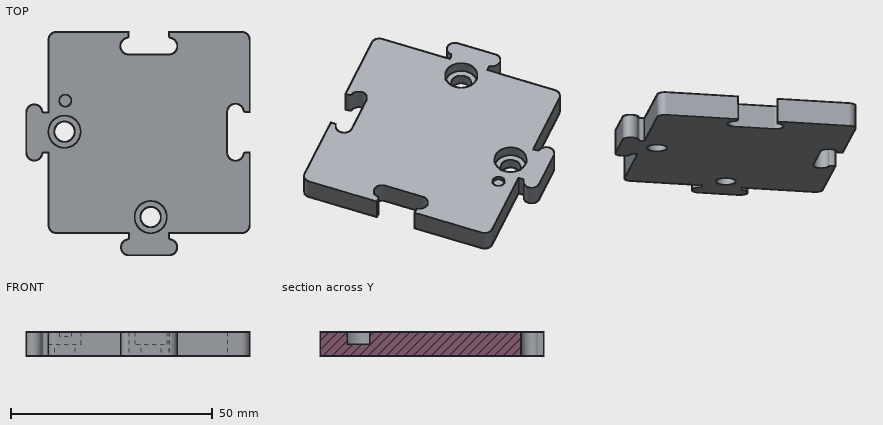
import cadquery as cq

side = 50.0
thickness = 6.0
corner_radius = 2.0
middle = side / 2

neck_width = 10.0
tab_lobe_offset = 3.5
tab_lobe_radius = 2.0
neck_fillet = 0.5
clearance = 0.05
socket_shift = 0.06
socket_lobe_offset = tab_lobe_offset + clearance
socket_lobe_radius = tab_lobe_radius + clearance

screw_diameter = 5.0
counterbore_diameter = 8.0
counterbore_depth = 3.0
screw_inset = 4.0
left_screw_shift = 0.2
front_screw_shift = 0.4
left_screw = (screw_inset, middle + left_screw_shift)
front_screw = (middle + front_screw_shift, screw_inset)

marker_diameter = 3.0
marker_depth = 1.0
marker_center = (4.2, 32.9)


def connector(lobe_offset, lobe_radius):
    """Connector pointing toward -Y from a tile edge lying on the X axis."""
    half_neck = neck_width / 2
    neck_end = lobe_radius - lobe_offset
    reach = lobe_offset + lobe_radius
    outline = (
        cq.Workplane("XY")
        .moveTo(-half_neck, 0)
        .lineTo(-half_neck, neck_end)
        .threePointArc((-half_neck - lobe_radius, -lobe_offset), (-half_neck, -reach))
        .lineTo(half_neck, -reach)
        .threePointArc((half_neck + lobe_radius, -lobe_offset), (half_neck, neck_end))
        .lineTo(half_neck, 0)
        .close()
    )
    body = outline.extrude(thickness)
    for neck_side in (-half_neck, half_neck):
        corner = (neck_side, neck_end, thickness / 2)
        body = body.edges(cq.NearestToPointSelector(corner)).fillet(neck_fillet)
    return body


def place(shape, angle, position):
    """Turn a shape about the Z axis and move it to a point on the tile."""
    x, y = position
    return shape.rotate((0, 0, 0), (0, 0, 1), angle).translate((x, y, 0))


def tile():
    """Plain square plate with rounded vertical corners."""
    plate = cq.Workplane("XY").box(side, side, thickness, centered=False)
    return plate.edges("|Z").fillet(corner_radius)


def add_tabs(body):
    """Tabs on the front (-Y) and left (-X) edges."""
    tab = connector(tab_lobe_offset, tab_lobe_radius)
    body = body.union(place(tab, 0, (middle, 0)))
    return body.union(place(tab, -90, (0, middle)))


def cut_sockets(body):
    """Matching sockets in the back (+Y) and right (+X) edges."""
    socket = connector(socket_lobe_offset, socket_lobe_radius)
    body = body.cut(place(socket, 0, (middle - socket_shift, side)))
    return body.cut(place(socket, -90, (side, middle + socket_shift)))


def cut_holes(body):
    """Counterbored screw holes and the blind marker hole, all from the top face."""
    top = cq.Workplane("XY").workplane(offset=thickness)
    screws = top.pushPoints([left_screw, front_screw])
    body = body.cut(screws.circle(screw_diameter / 2).extrude(-thickness))
    body = body.cut(screws.circle(counterbore_diameter / 2).extrude(-counterbore_depth))
    marker = top.center(*marker_center).circle(marker_diameter / 2).extrude(-marker_depth)
    return body.cut(marker)


result = cut_holes(cut_sockets(add_tabs(tile())))